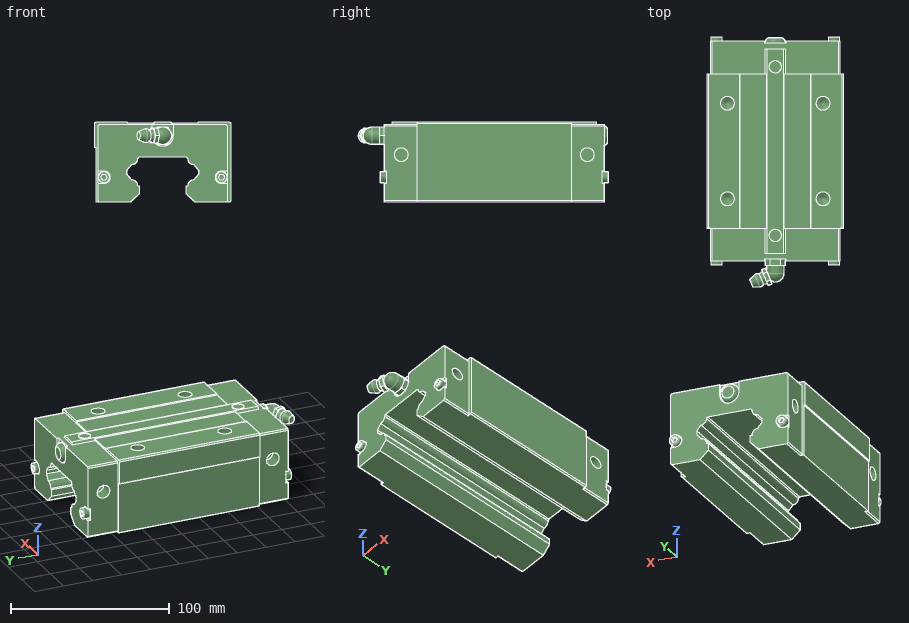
import cadquery as cq
import math

height = 50.5
block_width = 86.0
block_half_width = block_width / 2
block_length = 97.2
block_chamfer = 1.0
left_relief_depth = 1.0
left_relief_top = 34.3

groove_depth = 0.6
groove_outer_x = 22.5
groove_inner_x = 5.2
groove_wall_run = 0.4

cap_half_width = 40.7
cap_height = 49.0
cap_chamfer = 1.0
plate_face_y = 69.2
plate_thickness = 4.9
plate_inner_y = plate_face_y - plate_thickness
cap_rib_top_half = 5.0
cap_rib_base_half = 6.3

channel_mid_z = 18.9
channel_top_z = 28.3
channel_half_width = 22.5
channel_flat_half_height = 1.3
lip_x = 19.5
lip_radius = 3.8
lip_offset_z = 8.5
throat_x = 14.5
throat_bottom_z = 5.5
throat_step_rise = 0.3
throat_top_z = channel_mid_z - lip_offset_z - throat_step_rise
entry_half_width = 20.3
ceiling_corner_run = 0.8

mount_x = 30.0
mount_y = 30.0
mount_diameter = 8.7
mount_depth = 14.2
drill_tip_half_angle = math.radians(59)
top_port_y = 53.0
top_port_diameter = 7.7
top_port_depth = 0.3
side_port_y = 58.5
side_port_z = 29.9
side_port_diameter = 8.7
side_port_depth = 9.5

screw_x = 37.0
screw_z = 15.7
screw_head_diameter = 7.1
screw_edge_fillet = 0.3
screw_protrusion = 2.5
screw_pocket_radius = 4.0
screw_pocket_depth = 1.5
screw_socket_flats = 3.5
screw_socket_depth = 1.5

port_z = 41.8
port_pocket_radius = 6.6
port_pocket_depth = 1.34
pocket_floor_y = plate_face_y - port_pocket_depth

plug_radius = 6.3
plug_top_radius = 4.1
plug_height = 3.5

elbow_radius = 5.5
elbow_hex_end_y = 72.0
elbow_centre_y = 77.0
branch_angle = 22.5
branch_hex_flats = 9.5
branch_hex_start = 4.4
branch_hex_end = 7.1
neck_base_radius = 4.4
neck_radius = 3.5
neck_end = 9.5
barrel_radius = 4.4
barrel_centre = 11.0
cone_start = 12.3
cone_start_radius = 4.2
tip_diameter = 5.2
tip_end = 16.4


def prism_along_y(profile, start_y, end_y):
    """Extrude an XZ outline between two Y positions."""
    return profile.extrude(start_y - end_y).translate((0, start_y, 0))


def box_between(x0, x1, y0, y1, z0, z1):
    return cq.Workplane("XY").box(x1 - x0, y1 - y0, z1 - z0, centered=False).translate((x0, y0, z0))


def hexagon_diameter(flats):
    """Circumscribed diameter of a hexagon given across its flats."""
    return flats / math.cos(math.radians(30))


def block():
    right = block_half_width
    relief_x = left_relief_depth - block_half_width
    outline = (
        cq.Workplane("XZ")
        .moveTo(relief_x, 0)
        .lineTo(right - block_chamfer, 0)
        .lineTo(right, block_chamfer)
        .lineTo(right, height - block_chamfer)
        .lineTo(right - block_chamfer, height)
        .lineTo(block_chamfer - right, height)
        .lineTo(-right, height - block_chamfer)
        .lineTo(-right, left_relief_top)
        .lineTo(relief_x, left_relief_top)
        .close()
    )
    body = prism_along_y(outline, -block_length / 2, block_length / 2)
    for side in (-1, 1):
        groove = (
            cq.Workplane("XZ")
            .moveTo(side * groove_inner_x, height)
            .lineTo(side * (groove_inner_x + groove_wall_run), height - groove_depth)
            .lineTo(side * (groove_outer_x - groove_wall_run), height - groove_depth)
            .lineTo(side * groove_outer_x, height)
            .close()
        )
        body = body.cut(prism_along_y(groove, -block_length / 2, block_length / 2))
    return body


def end_caps():
    body = box_between(-cap_half_width, cap_half_width, -plate_face_y, plate_face_y, 0, cap_height)
    body = body.edges("|Y").chamfer(cap_chamfer)
    rib = (
        cq.Workplane("XZ")
        .moveTo(-cap_rib_base_half, cap_height)
        .lineTo(cap_rib_base_half, cap_height)
        .lineTo(cap_rib_top_half, height)
        .lineTo(-cap_rib_top_half, height)
        .close()
    )
    return body.union(prism_along_y(rib, -plate_inner_y, plate_inner_y))


def rail_channel():
    """Rail clearance: half of its section, mirrored across the YZ plane."""
    lip_rise = lip_offset_z - lip_radius
    arc_run = lip_radius * math.sqrt(0.5)
    lip_inner_x = lip_x - lip_radius
    arc_mid_x = lip_x - arc_run
    arc_mid_rise = lip_offset_z - arc_run
    half = (
        cq.Workplane("XZ")
        .moveTo(0, 0)
        .lineTo(entry_half_width, 0)
        .lineTo(throat_x, throat_bottom_z)
        .lineTo(throat_x, throat_top_z)
        .lineTo(lip_inner_x, channel_mid_z - lip_offset_z)
        .threePointArc((arc_mid_x, channel_mid_z - arc_mid_rise), (lip_x, channel_mid_z - lip_rise))
        .lineTo(channel_half_width, channel_mid_z - channel_flat_half_height)
        .lineTo(channel_half_width, channel_mid_z + channel_flat_half_height)
        .lineTo(lip_x, channel_mid_z + lip_rise)
        .threePointArc((arc_mid_x, channel_mid_z + arc_mid_rise), (lip_inner_x, channel_mid_z + lip_offset_z))
        .lineTo(lip_inner_x - ceiling_corner_run, channel_top_z)
        .lineTo(0, channel_top_z)
        .close()
    )
    right = prism_along_y(half, -plate_face_y, plate_face_y)
    return right.union(right.mirror("YZ"))


def mounting_holes():
    radius = mount_diameter / 2
    tip_depth = radius / math.tan(drill_tip_half_angle)
    drill = (
        cq.Workplane("XZ")
        .moveTo(0, height)
        .lineTo(radius, height)
        .lineTo(radius, height - mount_depth)
        .lineTo(0, height - mount_depth - tip_depth)
        .close()
        .revolve(360, (0, 0, 0), (0, 1, 0))
    )
    holes = cq.Workplane("XY")
    for x in (-mount_x, mount_x):
        for y in (-mount_y, mount_y):
            holes = holes.add(drill.translate((x, y, 0)))
    return holes.combine()


def lubrication_ports():
    """Shallow round recesses on the cap ribs and blind holes in the cap sides."""
    ports = (
        cq.Workplane("XY", origin=(0, 0, height - top_port_depth))
        .pushPoints([(0, -top_port_y), (0, top_port_y)])
        .circle(top_port_diameter / 2)
        .extrude(top_port_depth)
    )
    for start_x in (-cap_half_width, cap_half_width - side_port_depth):
        side_holes = (
            cq.Workplane("YZ", origin=(start_x, 0, 0))
            .pushPoints([(-side_port_y, side_port_z), (side_port_y, side_port_z)])
            .circle(side_port_diameter / 2)
            .extrude(side_port_depth)
        )
        ports = ports.add(side_holes)
    return ports.combine()


def front_pockets():
    """Recesses in the -Y plate for the grease fitting and the two screw heads."""
    r = port_pocket_radius
    pocket = (
        cq.Workplane("XZ")
        .moveTo(-r, cap_height)
        .lineTo(-r, port_z)
        .threePointArc((0, port_z - r), (r, port_z))
        .lineTo(r, cap_height)
        .close()
    )
    pockets = prism_along_y(pocket, -plate_face_y, -pocket_floor_y)
    r = screw_pocket_radius
    for side in (-1, 1):
        pocket = (
            cq.Workplane("XZ")
            .moveTo(side * cap_half_width, screw_z - r)
            .lineTo(side * screw_x, screw_z - r)
            .threePointArc((side * (screw_x - r), screw_z), (side * screw_x, screw_z + r))
            .lineTo(side * cap_half_width, screw_z + r)
            .close()
        )
        pockets = pockets.add(prism_along_y(pocket, -plate_face_y, screw_pocket_depth - plate_face_y))
    return pockets.combine()


def front_screws():
    """Socket-head screws seated in the -Y plate."""
    head_length = screw_pocket_depth + screw_protrusion
    head = (
        cq.Workplane("XZ", origin=(0, screw_pocket_depth - plate_face_y, 0))
        .circle(screw_head_diameter / 2)
        .extrude(head_length)
        .faces("<Y").edges().fillet(screw_edge_fillet)
        .faces("<Y").workplane()
        .polygon(6, hexagon_diameter(screw_socket_flats))
        .cutBlind(-screw_socket_depth)
    )
    left = head.translate((-screw_x, 0, screw_z))
    return left.union(head.translate((screw_x, 0, screw_z)))


def plug():
    """Domed plug in the +Y plate."""
    mid_angle = math.radians(45)
    dome_run = plug_radius - plug_top_radius
    dome_mid = (
        plug_top_radius + dome_run * math.cos(mid_angle),
        pocket_floor_y + plug_height * math.sin(mid_angle),
    )
    return (
        cq.Workplane("XY")
        .moveTo(0, pocket_floor_y)
        .lineTo(plug_radius, pocket_floor_y)
        .threePointArc(dome_mid, (plug_top_radius, pocket_floor_y + plug_height))
        .lineTo(0, pocket_floor_y + plug_height)
        .close()
        .revolve(360, (0, 0, 0), (0, 1, 0))
        .translate((0, 0, port_z))
    )


def fitting_branch():
    """Hexagon and nipple, swung from -X toward -Y about the elbow centre."""
    hexagon = (
        cq.Workplane("YZ", origin=(-branch_hex_start, 0, 0))
        .polygon(6, hexagon_diameter(branch_hex_flats))
        .extrude(branch_hex_start - branch_hex_end)
    )
    nipple = (
        cq.Workplane("XY")
        .lineTo(0, neck_radius)
        .lineTo(-branch_hex_end, neck_radius)
        .lineTo(-branch_hex_end, neck_base_radius)
        .lineTo(-neck_end, neck_radius)
        .threePointArc((-barrel_centre, barrel_radius), (-cone_start, cone_start_radius))
        .lineTo(-tip_end, tip_diameter / 2)
        .lineTo(-tip_end, 0)
        .close()
        .revolve(360, (0, 0, 0), (1, 0, 0))
    )
    return hexagon.union(nipple).rotate((0, 0, 0), (0, 0, 1), branch_angle)


def grease_fitting():
    """Hexagon base, round elbow with a spherical end, and the angled nipple."""
    base = (
        cq.Workplane("XZ", origin=(0, -pocket_floor_y, port_z))
        .polygon(6, hexagon_diameter(2 * elbow_radius))
        .extrude(elbow_hex_end_y - pocket_floor_y)
    )
    elbow = (
        cq.Workplane("XZ", origin=(0, -pocket_floor_y, port_z))
        .circle(elbow_radius)
        .extrude(elbow_centre_y - pocket_floor_y)
    )
    centre = (0, -elbow_centre_y, port_z)
    ball = cq.Workplane("XY").sphere(elbow_radius).translate(centre)
    return base.union(elbow).union(ball).union(fitting_branch().translate(centre))


def both_ends(feature):
    return feature.union(feature.mirror("XZ"))


result = (
    block()
    .union(end_caps())
    .cut(rail_channel())
    .cut(mounting_holes())
    .cut(lubrication_ports())
    .cut(both_ends(front_pockets()))
    .union(both_ends(front_screws()))
    .union(plug())
    .union(grease_fitting())
)